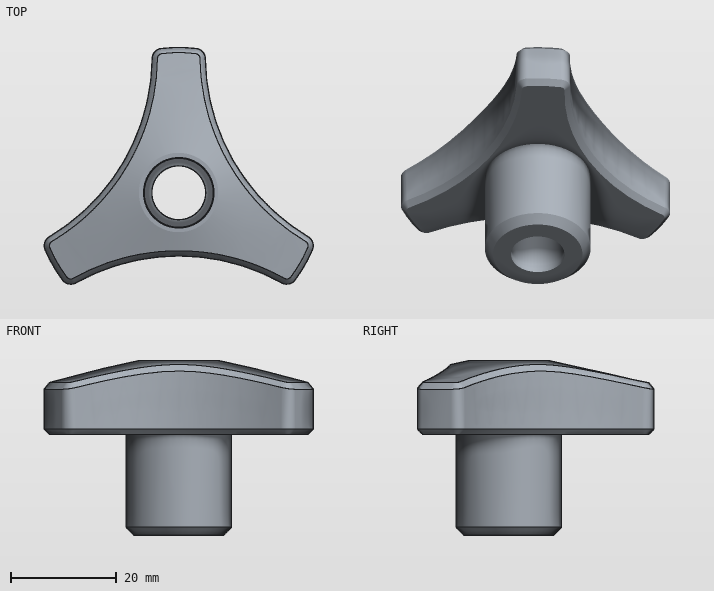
import cadquery as cq
import math

ARM_COUNT = 3
ARM_REACH = 27.45
WAIST_RADIUS = 11.95
HOLLOW_RADIUS = 39.65
CORNER_RADIUS = 2.0
HEAD_CHAMFER = 1.0

STEM_DIAMETER = 20.0
STEM_LENGTH = 19.0
STEM_CHAMFER = 1.55
HEAD_HEIGHT = 14.0
TOTAL_HEIGHT = STEM_LENGTH + HEAD_HEIGHT

CROWN_DIAMETER = 15.0
CROWN_DROP = 4.4

HOLE_DIAMETER = 10.1
BORE_DIAMETER = 13.0
BORE_DEPTH = HEAD_HEIGHT
MOUTH_CHAMFER = 0.15


def cylinder(radius, height, base_z):
    return cq.Workplane("XY").workplane(offset=base_z).circle(radius).extrude(height)


def make_head():
    """Star with hollowed sides, topped by a cone and chamfered all round."""
    profile = (
        cq.Workplane("XZ")
        .moveTo(0, STEM_LENGTH)
        .lineTo(ARM_REACH, STEM_LENGTH)
        .lineTo(ARM_REACH, TOTAL_HEIGHT - CROWN_DROP)
        .lineTo(CROWN_DIAMETER / 2, TOTAL_HEIGHT)
        .lineTo(0, TOTAL_HEIGHT)
        .close()
    )
    head = profile.revolve(360, (0, 0, 0), (0, 1, 0))

    hollow_centre = WAIST_RADIUS + HOLLOW_RADIUS
    for index in range(ARM_COUNT):
        angle = math.radians(-90 + index * 360 / ARM_COUNT)
        hollow = cylinder(HOLLOW_RADIUS, HEAD_HEIGHT, STEM_LENGTH)
        head = head.cut(hollow.translate((
            hollow_centre * math.cos(angle),
            hollow_centre * math.sin(angle),
            0,
        )))

    head = head.edges("|Z").fillet(CORNER_RADIUS)
    head = head.faces("%CONE").edges("not >Z").chamfer(HEAD_CHAMFER)
    return head.faces("<Z").edges().chamfer(HEAD_CHAMFER)


def make_stem():
    stem = cylinder(STEM_DIAMETER / 2, STEM_LENGTH, 0)
    return stem.faces("<Z").edges().chamfer(STEM_CHAMFER)


def cut_bore(body):
    """Through hole, wider bore from the top and a small chamfer at its mouth."""
    hole = cylinder(HOLE_DIAMETER / 2, TOTAL_HEIGHT, 0)
    bore = cylinder(BORE_DIAMETER / 2, BORE_DEPTH, TOTAL_HEIGHT - BORE_DEPTH)
    body = body.cut(hole).cut(bore)
    mouth = body.faces(">Z").edges(cq.selectors.RadiusNthSelector(0))
    return mouth.chamfer(MOUTH_CHAMFER)


result = cut_bore(make_head().union(make_stem()))